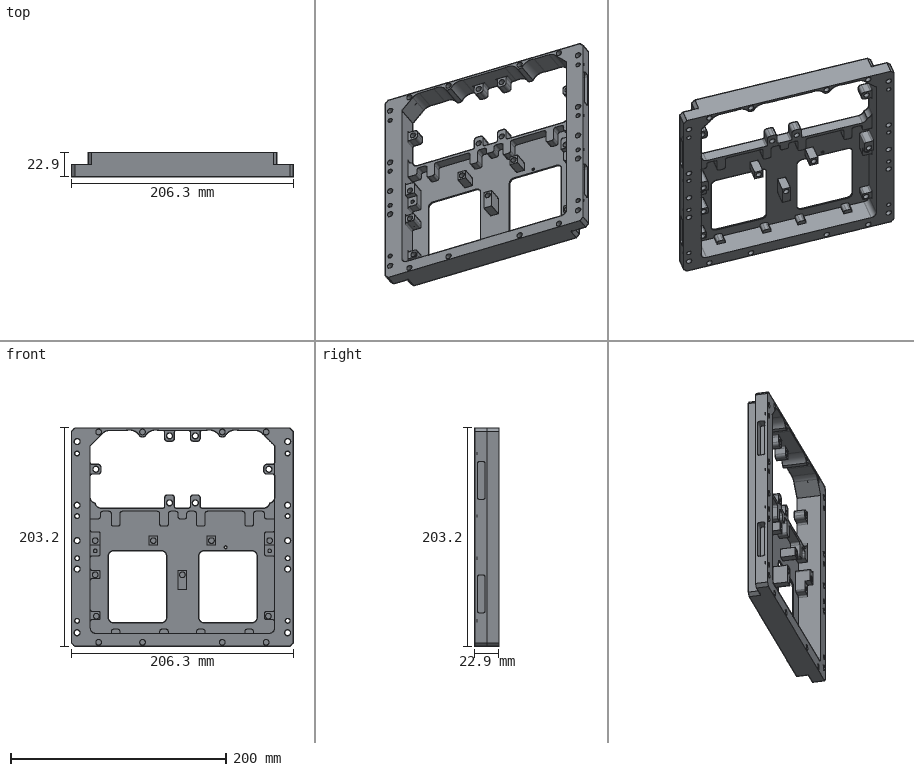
import cadquery as cq
import math

WIDTH = 206.35
DEPTH = 22.87
HEIGHT = 203.2
FLANGE_DEPTH = 11.7
REAR_WIDTH = 175.6
CORNER_CHAMFER = 3.175

CAVITY_HALF = 85.725
CAVITY_BOTTOM = -89.5
CAVITY_TOP = 99.2
CAVITY_BOTTOM_RADIUS = 5.0
TOP_CORNER_LEG = 14.2
TOP_CORNER_RADIUS = 9.5
FLOOR_THICKNESS = 1.27
FLOOR_Y = DEPTH - FLOOR_THICKNESS

TALL_BOSS_Y = 7.62
LOW_BOSS_Y = 12.7

RIB_TOP = 27.1
RIB_BOTTOM = 24.1
RIB_CORNER_LEG = 9.2
RIB_CORNER_SAGITTA = 1.0

FLANGE_HOLE_X = 97.9
LARGE_HOLE_DIAMETER = 5.3
SMALL_HOLE_DIAMETER = 4.2
RAIL_HOLE_Z = 97.8
RAIL_HOLE_INNER_X = 37.1
RAIL_HOLE_OUTER_X = 77.9
RAIL_HOLE_DEPTH = 10.0
BOSS_HOLE_DEPTH = 10.0
LOW_BOSS_HOLE_DEPTH = 6.0
LARGE_HOLE_ZS = (88.9, 29.7, -3.2, -29.7, -88.9)
SMALL_HOLE_ZS = (77.8, 19.6, -19.6, -77.8)

SCALLOP_TIP_RADIUS = 4.7
SCALLOP_RADIUS = 11.1
SCALLOP_OFFSET = 12.2
SCALLOP_RELIEF = 0.4

LUG_WIDTH = 9.3
LUG_TIP_RADIUS = 3.0
LUG_ROOT_RADIUS = 1.6
LUG_X = 12.0
TOP_LUG_REACH = 10.1
TOP_LUG_HOLE_Z = 94.2
RIB_LUG_REACH = 12.3
RIB_LUG_HOLE_Z = 31.9
SIDE_LUG_REACH = 10.1
SIDE_LUG_Z = 63.2
SIDE_LUG_HOLE_X = 80.5

TAB_XS = (-62.1, -17.1, 17.1, 62.1)
TAB_WIDTH = 8.0
TAB_REACH = 13.9
SHORT_TAB_REACH = 7.1
TAB_TIP_RADIUS = 2.0
TAB_ROOT_RADIUS = 2.3
CORNER_TAB_INNER_X = 76.3
CORNER_TAB_OUTER_X = 87.0
NUB_REACH = 4.0
NUB_TIP_RADIUS = 2.4

BOSS_REACH = 9.2
BOSS_TIP_RADIUS = 1.6
BOSS_ROOT_RADIUS = 1.6
DOUBLE_BOSS_TOP = 4.9
DOUBLE_BOSS_STEP = -7.2
DOUBLE_BOSS_BOTTOM = -17.4
BOSS_HOLE_X = 81.1
UPPER_HOLE_Z = -3.2
PILOT_HOLE_Z = -12.8
PILOT_HOLE_DIAMETER = 3.4
SMALL_BOSS_WIDTH = 7.8
MIDDLE_BOSS_Z = -34.7
BOTTOM_BOSS_Z = -72.9
BOTTOM_HOLE_X = 80.0
BOTTOM_HOLE_Z = -73.5

POST_WIDTH = 7.94
POST_X = 27.0
POST_TOP = 1.1
POST_BOTTOM = -7.5
CENTRE_POST_TOP = -30.8
CENTRE_POST_BOTTOM = -48.5
CENTRE_HOLE_Z = -35.0

WINDOW_INNER_X = 15.0
WINDOW_OUTER_X = 69.2
WINDOW_SHIFT = 0.3
WINDOW_TOP = -12.7
WINDOW_BOTTOM = -79.6
WINDOW_RADIUS = 5.0
PIN_HOLE_X = 40.3
PIN_HOLE_Z = -9.4
PIN_HOLE_DIAMETER = 2.4

SLOT_Z = 52.8
SLOT_LENGTH = 35.2
SLOT_FRONT_Y = 2.8
SLOT_BACK_Y = 9.6
SLOT_RADIUS = 1.5
SLOT_DEPTH = 10.0
SLIT_Y = 2.2
SLIT_HEIGHT = 0.2
SLIT_LENGTH = 2.0

OVERLAP = 1.0

SIDES = (-1, 1)


def plane(back_y):
    """XZ workplane at the given Y; extrusion runs toward the front (-Y)."""
    return cq.Workplane("XZ", origin=(0, back_y, 0))


def block(x_range, y_range, z_range):
    """Axis-aligned box given by its (low, high) range along each axis."""
    ranges = (x_range, y_range, z_range)
    size = [high - low for low, high in ranges]
    centre = tuple((low + high) / 2 for low, high in ranges)
    return cq.Workplane("XY").box(*size).translate(centre)


def drill(points, diameter, front_y, depth):
    """Cylinders running from front_y toward the back at the (x, z) points."""
    return plane(front_y + depth).pushPoints(points).circle(diameter / 2).extrude(depth)


def lug(base, angle, width, reach, tip_radius, root_radius, front_y, back_y=DEPTH):
    """Tongue with rounded tip and filleted root.

    It grows from the (x, z) point base; an angle of 0 points it toward +Z and
    positive angles lean it toward +X.
    """
    half = width / 2
    shallow = 1 - math.sqrt(0.5)
    root_mid = root_radius * shallow
    tip_mid = tip_radius * shallow
    profile = (
        plane(back_y)
        .moveTo(-half - root_radius, -OVERLAP)
        .lineTo(-half - root_radius, 0)
        .threePointArc((-half - root_mid, root_mid), (-half, root_radius))
        .lineTo(-half, reach - tip_radius)
        .threePointArc((-half + tip_mid, reach - tip_mid), (-half + tip_radius, reach))
        .lineTo(half - tip_radius, reach)
        .threePointArc((half - tip_mid, reach - tip_mid), (half, reach - tip_radius))
        .lineTo(half, root_radius)
        .threePointArc((half + root_mid, root_mid), (half + root_radius, 0))
        .lineTo(half + root_radius, -OVERLAP)
        .close()
    )
    solid = profile.extrude(back_y - front_y)
    return solid.rotate((0, 0, 0), (0, 1, 0), angle).translate((base[0], 0, base[1]))


def wall_boss(side, z_centre, width, front_y):
    """Boss growing inward from a side wall; side is -1 or +1."""
    base = (side * CAVITY_HALF, z_centre)
    return lug(base, -90 * side, width, BOSS_REACH, BOSS_TIP_RADIUS, BOSS_ROOT_RADIUS, front_y)


def outer_frame():
    """Wide front flange and narrower rear block with chamfered corners."""
    flange = plane(FLANGE_DEPTH).rect(WIDTH, HEIGHT).extrude(FLANGE_DEPTH)
    rear = plane(DEPTH).rect(REAR_WIDTH, HEIGHT).extrude(DEPTH - FLANGE_DEPTH)
    flange = flange.edges("|Y").chamfer(CORNER_CHAMFER)
    rear = rear.edges("|Y").chamfer(CORNER_CHAMFER)
    return flange.union(rear)


def cavity():
    """Through opening with rounded lower corners and bevelled upper corners."""
    bevel_x = CAVITY_HALF - TOP_CORNER_LEG
    bevel_z = CAVITY_TOP - TOP_CORNER_LEG
    outline = [
        (-CAVITY_HALF, CAVITY_BOTTOM),
        (CAVITY_HALF, CAVITY_BOTTOM),
        (CAVITY_HALF, bevel_z),
        (bevel_x, CAVITY_TOP),
        (-bevel_x, CAVITY_TOP),
        (-CAVITY_HALF, bevel_z),
    ]
    solid = plane(DEPTH).polyline(outline).close().extrude(DEPTH)
    solid = solid.edges("|Y and <Z").fillet(CAVITY_BOTTOM_RADIUS)
    return solid.edges("|Y and >Z").fillet(TOP_CORNER_RADIUS)


def add_scalloped_boss(body, centre_x):
    """Add a boss under the top rail whose two flanks are scooped out by large cylinders.

    The scoops also bite into the underside of the rail by SCALLOP_RELIEF.
    """
    tip = drill([(centre_x, RAIL_HOLE_Z)], 2 * SCALLOP_TIP_RADIUS, 0, DEPTH)
    x_range = (centre_x - SCALLOP_OFFSET, centre_x + SCALLOP_OFFSET)
    rail_middle = (CAVITY_TOP + HEIGHT / 2) / 2
    tip_z_range = (RAIL_HOLE_Z - SCALLOP_TIP_RADIUS, rail_middle)
    tip = tip.intersect(block(x_range, (0, DEPTH), tip_z_range))
    z_range = (RAIL_HOLE_Z - SCALLOP_TIP_RADIUS / 2, rail_middle)
    shoulder = block(x_range, (0, DEPTH), z_range)
    scoop_z = CAVITY_TOP + SCALLOP_RELIEF - SCALLOP_RADIUS
    scoops = drill([(x, scoop_z) for x in x_range], 2 * SCALLOP_RADIUS, 0, DEPTH)
    return body.union(tip).union(shoulder).cut(scoops)


def floor_and_rib():
    """Thin floor with two windows and a pin hole, and the rib along its top."""
    half_span = CAVITY_HALF + OVERLAP
    floor = block((-half_span, half_span), (FLOOR_Y, DEPTH), (CAVITY_BOTTOM - OVERLAP, RIB_TOP))
    for side in SIDES:
        edges = (side * WINDOW_INNER_X, side * WINDOW_OUTER_X)
        x_range = sorted(x + WINDOW_SHIFT for x in edges)
        window = block(x_range, (FLOOR_Y, DEPTH), (WINDOW_BOTTOM, WINDOW_TOP))
        floor = floor.cut(window.edges("|Y").fillet(WINDOW_RADIUS))
    floor = floor.cut(drill([(PIN_HOLE_X, PIN_HOLE_Z)], PIN_HOLE_DIAMETER, FLOOR_Y, FLOOR_THICKNESS))

    body = floor.union(block((-half_span, half_span), (LOW_BOSS_Y, DEPTH), (RIB_BOTTOM, RIB_TOP)))
    for side in SIDES:
        wall_x = side * CAVITY_HALF
        sag = side * RIB_CORNER_SAGITTA
        half_leg = RIB_CORNER_LEG / 2
        corner = (
            plane(DEPTH)
            .moveTo(wall_x, RIB_TOP)
            .lineTo(wall_x, RIB_TOP + RIB_CORNER_LEG)
            .sagittaArc((wall_x - side * half_leg, RIB_TOP + half_leg), sag)
            .sagittaArc((wall_x - side * RIB_CORNER_LEG, RIB_TOP), sag)
            .close()
        )
        body = body.union(corner.extrude(DEPTH - LOW_BOSS_Y))
    return body


def opening_lugs():
    """Six drilled lugs around the upper opening."""
    style = (LUG_TIP_RADIUS, LUG_ROOT_RADIUS, LOW_BOSS_Y)
    body = cq.Workplane("XY")
    holes = []
    for side in SIDES:
        x = side * LUG_X
        body = body.add(lug((x, CAVITY_TOP), 180, LUG_WIDTH, TOP_LUG_REACH, *style))
        body = body.add(lug((x, RIB_TOP), 0, LUG_WIDTH, RIB_LUG_REACH, *style))
        wall = (side * CAVITY_HALF, SIDE_LUG_Z)
        body = body.add(lug(wall, -90 * side, LUG_WIDTH, SIDE_LUG_REACH, *style))
        holes += [(x, TOP_LUG_HOLE_Z), (x, RIB_LUG_HOLE_Z), (side * SIDE_LUG_HOLE_X, SIDE_LUG_Z)]
    return body.combine(), drill(holes, LARGE_HOLE_DIAMETER, LOW_BOSS_Y, DEPTH - LOW_BOSS_Y)


def tabs_and_nubs():
    """Tabs under the rib and nubs along the bottom wall."""
    style = (TAB_TIP_RADIUS, TAB_ROOT_RADIUS, LOW_BOSS_Y)
    body = lug((0, RIB_BOTTOM), 180, TAB_WIDTH, SHORT_TAB_REACH, *style)
    for x in TAB_XS:
        body = body.union(lug((x, RIB_BOTTOM), 180, TAB_WIDTH, TAB_REACH, *style))
        x_range = (x - TAB_WIDTH / 2, x + TAB_WIDTH / 2)
        nub = block(x_range, (LOW_BOSS_Y, DEPTH), (CAVITY_BOTTOM, CAVITY_BOTTOM + NUB_REACH))
        body = body.union(nub.edges("|Y and >Z").fillet(NUB_TIP_RADIUS))
    corner_x = (CORNER_TAB_INNER_X + CORNER_TAB_OUTER_X) / 2
    corner_width = CORNER_TAB_OUTER_X - CORNER_TAB_INNER_X
    for side in SIDES:
        base = (side * corner_x, RIB_BOTTOM)
        body = body.union(lug(base, 180, corner_width, SHORT_TAB_REACH, *style))
    x_range = (-CORNER_TAB_OUTER_X, CORNER_TAB_OUTER_X)
    return body.intersect(block(x_range, (0, DEPTH), (CAVITY_BOTTOM, RIB_TOP)))


def wall_bosses():
    """Stepped double bosses, bottom bosses and the single left middle boss."""
    double_z = (DOUBLE_BOSS_TOP + DOUBLE_BOSS_BOTTOM) / 2
    double_width = DOUBLE_BOSS_TOP - DOUBLE_BOSS_BOTTOM
    body = wall_boss(-1, MIDDLE_BOSS_Z, SMALL_BOSS_WIDTH, TALL_BOSS_Y)
    for side in SIDES:
        double = wall_boss(side, double_z, double_width, TALL_BOSS_Y)
        inner_x = CAVITY_HALF - BOSS_REACH
        x_range = sorted((side * inner_x, side * CAVITY_HALF))
        z_range = (DOUBLE_BOSS_BOTTOM - BOSS_ROOT_RADIUS, DOUBLE_BOSS_STEP)
        double = double.cut(block(x_range, (TALL_BOSS_Y, LOW_BOSS_Y), z_range))
        body = body.union(double)
        body = body.union(wall_boss(side, BOTTOM_BOSS_Z, SMALL_BOSS_WIDTH, LOW_BOSS_Y))
    return body


def posts():
    """Two small posts and one longer centre post standing on the floor."""
    half = POST_WIDTH / 2
    y_range = (TALL_BOSS_Y, DEPTH)
    body = block((-half, half), y_range, (CENTRE_POST_BOTTOM, CENTRE_POST_TOP))
    for side in SIDES:
        x = side * POST_X
        body = body.union(block((x - half, x + half), y_range, (POST_BOTTOM, POST_TOP)))
    return body


def boss_holes():
    """Blind holes in the bosses and posts."""
    tall = [(0, CENTRE_HOLE_Z), (-BOSS_HOLE_X, CENTRE_HOLE_Z)]
    pilot = []
    low = []
    for side in SIDES:
        tall += [(side * BOSS_HOLE_X, UPPER_HOLE_Z), (side * POST_X, UPPER_HOLE_Z)]
        pilot.append((side * BOSS_HOLE_X, PILOT_HOLE_Z))
        low.append((side * BOTTOM_HOLE_X, BOTTOM_HOLE_Z))
    cutter = drill(tall, LARGE_HOLE_DIAMETER, TALL_BOSS_Y, BOSS_HOLE_DEPTH)
    cutter = cutter.add(drill(pilot, PILOT_HOLE_DIAMETER, LOW_BOSS_Y, LOW_BOSS_HOLE_DEPTH))
    return cutter.add(drill(low, LARGE_HOLE_DIAMETER, LOW_BOSS_Y, LOW_BOSS_HOLE_DEPTH)).combine()


def frame_holes():
    """Through holes in the side flanges and blind holes in the two rails."""
    large = [(side * FLANGE_HOLE_X, z) for side in SIDES for z in LARGE_HOLE_ZS]
    small = [(side * FLANGE_HOLE_X, z) for side in SIDES for z in SMALL_HOLE_ZS]
    rail_xs = (RAIL_HOLE_INNER_X, RAIL_HOLE_OUTER_X)
    rail = [(i * x, j * RAIL_HOLE_Z) for i in SIDES for j in SIDES for x in rail_xs]
    cutter = drill(large, LARGE_HOLE_DIAMETER, 0, FLANGE_DEPTH)
    cutter = cutter.add(drill(small, SMALL_HOLE_DIAMETER, 0, FLANGE_DEPTH))
    return cutter.add(drill(rail, LARGE_HOLE_DIAMETER, 0, RAIL_HOLE_DEPTH)).combine()


def edge_cuts():
    """Blind slots in both side edges, and slits reaching the small flange holes."""
    cutter = cq.Workplane("XY")
    half_width = WIDTH / 2
    slit_y = (SLIT_Y - SLIT_HEIGHT / 2, SLIT_Y + SLIT_HEIGHT / 2)
    for side in SIDES:
        slot_x = sorted((side * half_width, side * (half_width - SLOT_DEPTH)))
        slit_x = sorted((side * half_width, side * FLANGE_HOLE_X))
        for z in (-SLOT_Z, SLOT_Z):
            slot_z = (z - SLOT_LENGTH / 2, z + SLOT_LENGTH / 2)
            slot = block(slot_x, (SLOT_FRONT_Y, SLOT_BACK_Y), slot_z)
            cutter = cutter.add(slot.edges("|X").fillet(SLOT_RADIUS))
        for z in SMALL_HOLE_ZS:
            slit_z = (z - SLIT_LENGTH / 2, z + SLIT_LENGTH / 2)
            cutter = cutter.add(block(slit_x, slit_y, slit_z))
    return cutter.combine()


frame = outer_frame().cut(cavity())
for hole_side in SIDES:
    frame = add_scalloped_boss(frame, hole_side * RAIL_HOLE_INNER_X)

lugs, lug_holes = opening_lugs()
inside = floor_and_rib().union(lugs).union(tabs_and_nubs()).union(wall_bosses()).union(posts())

result = frame.union(inside)
for cutter in (lug_holes, boss_holes(), frame_holes(), edge_cuts()):
    result = result.cut(cutter)